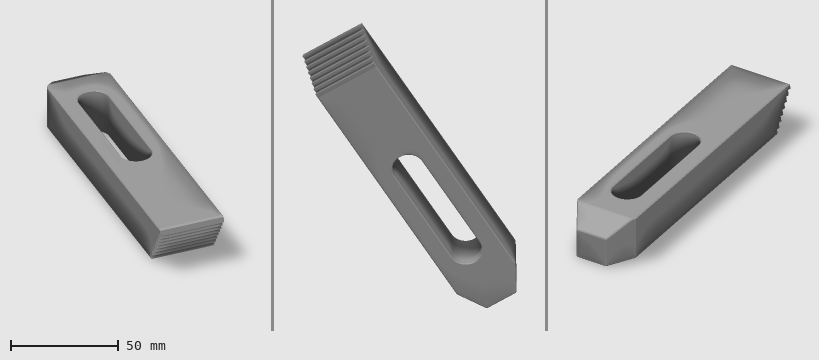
import cadquery as cq
import math

length = 150.0
width = 32.0
height = 22.0
edge_break = 0.5

nose_angle = math.radians(30)
nose_height = 15.2
side_taper_length = 13.6
top_taper_length = (height - nose_height) / math.tan(nose_angle)
side_taper_depth = side_taper_length * math.tan(nose_angle)

slot_start = 24.5
slot_length = 65.2
slot_width = 15.0

heel_angle = math.radians(31)
tooth_count = 8
tooth_drop = 3.2
tooth_run = 0.68
tooth_rise = (tooth_count * tooth_drop - height) / (tooth_count - 1)
tooth_step_z = tooth_drop - tooth_rise
tooth_step_x = tooth_step_z * math.tan(heel_angle)
tooth_depth = tooth_step_x + tooth_run
heel_bevel_length = 1.2
heel_bevel_height = edge_break


def make_tapered_block():
    """Full-length block with the nose tapered on both sides and the top."""
    half_width = width / 2
    half_nose = half_width - side_taper_depth
    plan = (
        cq.Workplane("XY")
        .polyline([
            (0, -half_nose),
            (side_taper_length, -half_width),
            (length, -half_width),
            (length, half_width),
            (side_taper_length, half_width),
            (0, half_nose),
        ])
        .close()
        .extrude(height)
    )
    profile = (
        cq.Workplane("XZ")
        .polyline([
            (0, 0),
            (length, 0),
            (length, height),
            (top_taper_length, height),
            (0, nose_height),
        ])
        .close()
        .extrude(half_width, both=True)
    )
    return plan.intersect(profile)


def break_edges(block):
    """Chamfer the bottom outline, the top outline and the edges of the nose."""
    tolerance = 0.002

    def stays_sharp(edge):
        center_x = edge.Center().x
        is_taper_corner = abs(center_x - side_taper_length) < tolerance
        is_heel_end = abs(center_x - length) < tolerance
        return is_taper_corner or is_heel_end

    broken = [edge for edge in block.edges().vals() if not stays_sharp(edge)]
    return block.newObject(broken).chamfer(edge_break)


def make_slot_cutter():
    """Through slot with its top and bottom rims chamfered."""
    center_x = slot_start + slot_length / 2

    def slot_at(z, size_increase, depth, taper=0):
        return (
            cq.Workplane("XY", origin=(center_x, 0, z))
            .slot2D(slot_length + size_increase, slot_width + size_increase)
            .extrude(depth, taper=taper)
        )

    cutter = slot_at(0, 0, height)
    cutter = cutter.union(slot_at(0, 2 * edge_break, edge_break, 45))
    return cutter.union(slot_at(height, 2 * edge_break, -edge_break, 45))


def make_heel_envelope():
    """Side profile ending in a beveled top edge and a leaning row of teeth."""
    slope = tooth_run / tooth_drop
    bevel_end_x = length - tooth_run + slope * heel_bevel_height
    points = [
        (0, 0),
        (0, height),
        (bevel_end_x - heel_bevel_length, height),
        (bevel_end_x, height - heel_bevel_height),
    ]
    for tooth in range(tooth_count):
        tip_x = length - tooth * tooth_step_x
        tip_z = height - tooth_drop - tooth * tooth_step_z
        root_x = tip_x - tooth_depth
        points.append((tip_x, tip_z))
        points.append((root_x, tip_z + tooth_rise))
    points.append((root_x + slope * tooth_rise, 0))
    return cq.Workplane("XZ").polyline(points).close().extrude(width, both=True)


block = break_edges(make_tapered_block())
result = block.cut(make_slot_cutter()).intersect(make_heel_envelope())